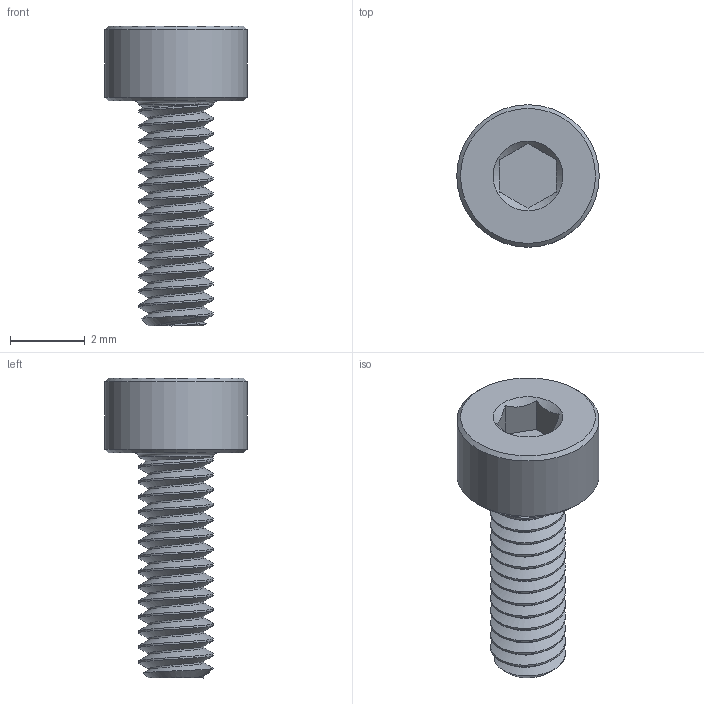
import cadquery as cq
import math


head_diameter = 3.8
head_height = 2.0
head_chamfer = 0.1

socket_across_flats = 1.5
socket_depth = 1.0
socket_mouth_diameter = 1.86
socket_mouth_slope = math.radians(45)

thread_diameter = 2.0
thread_length = 6.0
pitch = 0.4
thread_depth = 0.257
crest_flat = pitch / 8
flank_angle = math.radians(30)
groove_phase = -0.272

neck_fillet = 0.1

head_radius = head_diameter / 2
thread_radius = thread_diameter / 2
root_radius = thread_radius - thread_depth
axis_start = (0, 0)
axis_end = (0, 1)


def make_head():
    """Cylindrical head with both rims chamfered."""
    head = cq.Workplane("XY").circle(head_radius).extrude(head_height)
    return head.faces("<Z or >Z").edges().chamfer(head_chamfer)


def make_socket():
    """Hexagonal recess with two corners on the Y axis, plus its conical mouth."""
    half_side_angle = math.radians(30)
    corner_diameter = socket_across_flats / math.cos(half_side_angle)
    hexagon = (
        cq.Workplane("XY", origin=(0, 0, head_height))
        .transformed(rotate=(0, 0, 90))
        .polygon(6, corner_diameter)
        .extrude(-socket_depth)
    )
    mouth_radius = socket_mouth_diameter / 2
    cone_depth = mouth_radius * math.tan(socket_mouth_slope)
    mouth = (
        cq.Workplane("XZ")
        .moveTo(0, head_height)
        .lineTo(mouth_radius, head_height)
        .lineTo(0, head_height - cone_depth)
        .close()
        .revolve(360, axis_start, axis_end)
    )
    return hexagon.union(mouth)


def make_shank_envelope():
    """Plain shank whose tip is chamfered at 45 degrees down to the thread root."""
    shank = cq.Workplane("XY").circle(thread_radius).extrude(-thread_length)
    return shank.faces("<Z").edges().chamfer(thread_depth)


def make_thread_groove():
    """Right-handed helical V groove, longer than the shank at both ends."""
    overshoot = 0.03
    turns_below = math.ceil(thread_length / pitch) + 1
    turns_above = 2
    start_height = groove_phase - turns_below * pitch
    helix_height = (turns_below + turns_above) * pitch
    outer_radius = thread_radius + overshoot
    mouth_half_width = (pitch - crest_flat) / 2
    outer_half_width = mouth_half_width + overshoot * math.tan(flank_angle)
    root_half_width = mouth_half_width - thread_depth * math.tan(flank_angle)

    helix = cq.Wire.makeHelix(pitch, helix_height, thread_radius)
    groove = (
        cq.Workplane("XZ")
        .moveTo(root_radius, -root_half_width)
        .lineTo(outer_radius, -outer_half_width)
        .lineTo(outer_radius, outer_half_width)
        .lineTo(root_radius, root_half_width)
        .close()
        .sweep(cq.Workplane(helix), isFrenet=True)
    )
    return groove.translate((0, 0, start_height))


def make_threaded_shank():
    """Threaded rod longer than the groove at both ends, trimmed to the shank."""
    rod_margin = 4 * pitch
    rod_length = thread_length + 2 * rod_margin
    rod = cq.Workplane("XY", origin=(0, 0, rod_margin)).circle(thread_radius).extrude(-rod_length)
    return rod.cut(make_thread_groove()).intersect(make_shank_envelope())


def make_neck():
    """Neck filleted into the head, then a cone at the flank angle that closes the groove."""
    cone_end = neck_fillet + thread_radius * math.tan(flank_angle)
    return (
        cq.Workplane("XZ")
        .moveTo(0, 0)
        .lineTo(thread_radius + neck_fillet, 0)
        .radiusArc((thread_radius, -neck_fillet), -neck_fillet)
        .lineTo(0, -cone_end)
        .close()
        .revolve(360, axis_start, axis_end)
    )


result = make_head().union(make_threaded_shank()).union(make_neck()).cut(make_socket())